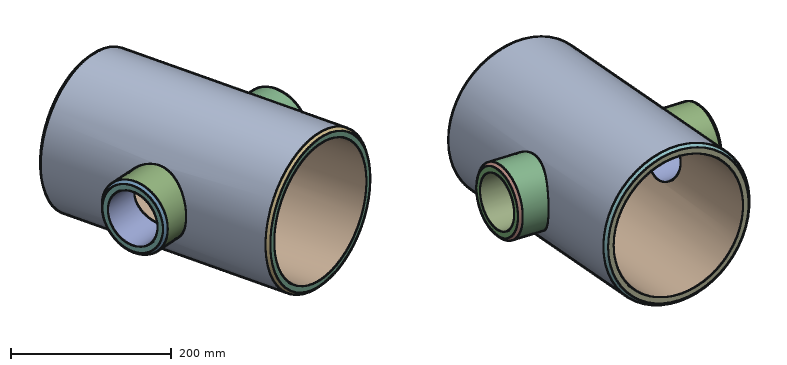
import cadquery as cq

main_length = 355.5
main_diameter = 219.0
main_bore = 193.8

branch_span = 304.7
branch_diameter = 102.0
branch_bore = 76.5

bevel = 4.3


def bevelled_cylinder(plane, diameter, length):
    """Solid cylinder centred on the origin with both end rims bevelled."""
    cylinder = cq.Workplane(plane).circle(diameter / 2).extrude(length / 2, both=True)
    return cylinder.edges("%CIRCLE").chamfer(bevel)


def through_bore(plane, diameter, length):
    """Bore centred on the origin, running the full length of its pipe."""
    return cq.Workplane(plane).circle(diameter / 2).extrude(length / 2, both=True)


outer_body = bevelled_cylinder("YZ", main_diameter, main_length).union(
    bevelled_cylinder("XZ", branch_diameter, branch_span)
)

result = outer_body.cut(through_bore("YZ", main_bore, main_length)).cut(
    through_bore("XZ", branch_bore, branch_span)
)